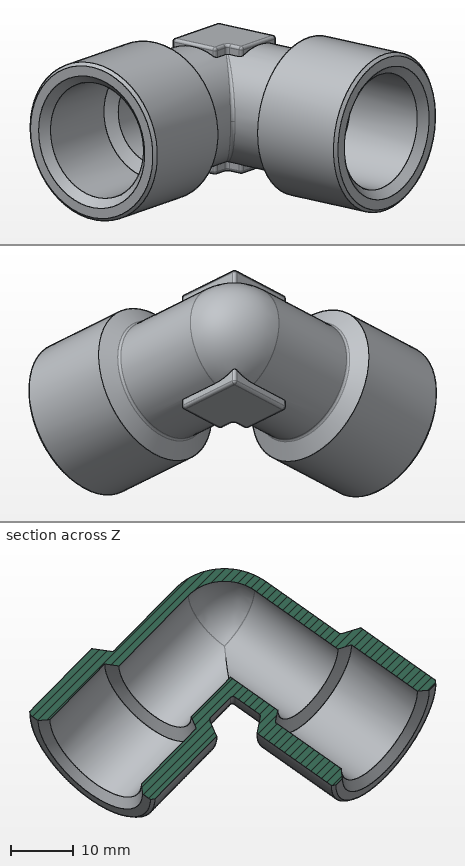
import cadquery as cq
import math

overall = 46.5
collar_diameter = 26.0
collar_radius = collar_diameter / 2
reach = overall - collar_radius
pipe_radius = 10.0
collar_length = 16.0
cone_angle = math.radians(60)
small_round = 0.5

mouth_radius = 10.85
socket_radius = 9.5
bore_radius = 7.5
socket_depth = 15.0

pad_size = 11.9
pad_overhang = 4.4
pad_notch = 2.98
pad_height = 10.55

center_x = collar_radius
center_y = reach


def revolve_arm(profile):
    """Revolve a (radius, axial distance) half profile about the local Y axis."""
    return cq.Workplane("XY").polyline(profile).close().revolve(360, (0, 0, 0), (0, 1, 0))


def both_arms(arm):
    """Point one copy of an arm along +X and one along -Y."""
    along_x = arm.rotate((0, 0, 0), (0, 0, 1), -90)
    along_minus_y = arm.rotate((0, 0, 0), (0, 0, 1), 180)
    return along_x, along_minus_y


def outer_arm():
    collar_start = reach - collar_length
    neck = collar_start - (collar_radius - pipe_radius) / math.tan(cone_angle)
    arm = revolve_arm([
        (0, 0),
        (pipe_radius, 0),
        (pipe_radius, neck),
        (collar_radius, collar_start),
        (collar_radius, reach - small_round),
        (collar_radius - small_round, reach),
        (0, reach),
    ])
    neck_edge = cq.selectors.BoxSelector(
        (-collar_radius, neck - small_round, -collar_radius),
        (collar_radius, neck + small_round, collar_radius),
        boundingbox=True,
    )
    return arm.edges(neck_edge).fillet(small_round)


def bore_arm():
    socket_end = reach - socket_depth
    cone_end = socket_end - (socket_radius - bore_radius) / math.tan(cone_angle)
    return revolve_arm([
        (0, 0),
        (bore_radius, 0),
        (bore_radius, cone_end),
        (socket_radius, socket_end),
        (socket_radius, reach - (mouth_radius - socket_radius)),
        (mouth_radius, reach),
        (0, reach),
    ])


def pad():
    """L-shaped pad with rounded corners and rounded outer rim."""
    left = -pad_overhang
    right = left + pad_size
    inner = right - pad_notch
    outline = [
        (left, -left), (right, -left), (right, -inner),
        (inner, -inner), (inner, -right), (left, -right),
    ]
    block = cq.Workplane("XY").polyline(outline).close().extrude(pad_height)
    return block.edges("|Z").fillet(small_round).faces(">Z").edges().fillet(small_round)


body = cq.Workplane("XY").sphere(pipe_radius)
for arm in both_arms(outer_arm()):
    body = body.union(arm)

upper_pad = pad()
body = body.union(upper_pad).union(upper_pad.mirror("XY"))

crease_limit = pipe_radius + small_round
crease = cq.selectors.BoxSelector(
    (pipe_radius / 2, -crease_limit, -pipe_radius),
    (crease_limit, -pipe_radius / 2, pipe_radius),
)
body = body.edges(crease).fillet(small_round)

cavity = cq.Workplane("XY").sphere(bore_radius)
for arm in both_arms(bore_arm()):
    cavity = cavity.union(arm)

result = body.cut(cavity).translate((center_x, center_y, 0))